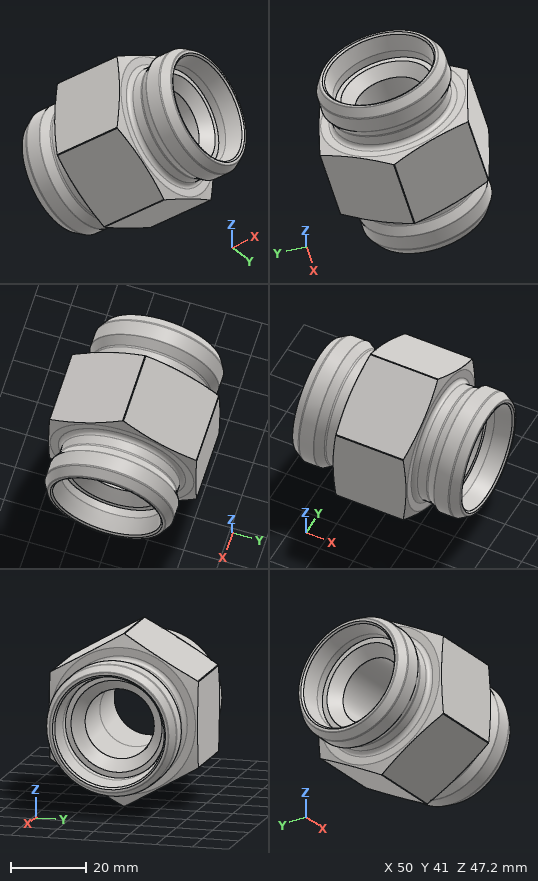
import cadquery as cq
import math

length = 50.0
half_length = length / 2

hex_width = 22.0
hex_across_flats = 41.0
hex_corner_diameter = 47.2
hex_face_diameter = 40.0
hex_chamfer_angle = 15.0

crest_diameter = 36.0
neck_diameter = 32.9
crest_start = 2.65
crest_end = 7.1
neck_start = 9.8
crest_blend = 0.75
neck_blend = 1.0
rim_blend = 0.2
hex_root_fillet = 1.25

mouth_diameter = 31.2
cone_diameter = 30.2
socket_diameter = 28.2
seat_diameter = 25.1
bore_diameter = 19.0
cone_half_angle = 12.0
mouth_depth = (mouth_diameter - cone_diameter) / 2
cone_length = (cone_diameter - socket_diameter) / 2 / math.tan(math.radians(cone_half_angle))
socket_depth = 7.5
seat_cone_length = (seat_diameter - bore_diameter) / 2


def revolve_about_x(profile):
    """Turn a closed (distance, radius) profile around the X axis."""
    return profile.close().revolve(360, (0, 0, 0), (1, 0, 0))


def circles_at(body, x, radius):
    """Pick the round edges of the given radius at a place along X."""
    margin = 0.005
    reach = radius + margin
    return body.edges(
        cq.selectors.BoxSelector(
            (x - margin, -reach, -reach), (x + margin, reach, reach), boundingbox=True
        )
    )


def make_hexagon():
    corner_radius = hex_corner_diameter / 2
    face_radius = hex_face_diameter / 2
    chamfer_length = (corner_radius - face_radius) * math.tan(math.radians(hex_chamfer_angle))
    half_width = hex_width / 2
    prism_diameter = hex_across_flats / math.cos(math.radians(30))
    prism = (
        cq.Workplane("YZ")
        .polygon(6, prism_diameter)
        .extrude(half_width, both=True)
        .rotate((0, 0, 0), (1, 0, 0), 90)
    )
    envelope = revolve_about_x(
        cq.Workplane("XY")
        .moveTo(-half_width, 0)
        .lineTo(-half_width, face_radius)
        .lineTo(-half_width + chamfer_length, corner_radius)
        .lineTo(half_width - chamfer_length, corner_radius)
        .lineTo(half_width, face_radius)
        .lineTo(half_width, 0)
    )
    return prism.intersect(envelope)


def make_left_end():
    crest_radius = crest_diameter / 2
    neck_radius = neck_diameter / 2
    hex_face = -hex_width / 2
    root_start = hex_face - hex_root_fillet
    end = revolve_about_x(
        cq.Workplane("XY")
        .moveTo(-half_length, 0)
        .lineTo(-half_length, neck_radius)
        .lineTo(-half_length + crest_start, crest_radius)
        .lineTo(-half_length + crest_end, crest_radius)
        .lineTo(-half_length + neck_start, neck_radius)
        .lineTo(root_start, neck_radius)
        .radiusArc((hex_face, neck_radius + hex_root_fillet), -hex_root_fillet)
        .lineTo(0, neck_radius + hex_root_fillet)
        .lineTo(0, 0)
    )
    end = circles_at(end, -half_length, neck_radius).fillet(rim_blend)
    end = circles_at(end, -half_length + crest_start, crest_radius).fillet(crest_blend)
    end = circles_at(end, -half_length + crest_end, crest_radius).fillet(rim_blend)
    return circles_at(end, -half_length + neck_start, neck_radius).fillet(neck_blend)


def make_left_cavity():
    seat_x = -half_length + socket_depth
    return revolve_about_x(
        cq.Workplane("XY")
        .moveTo(-half_length, 0)
        .lineTo(-half_length, mouth_diameter / 2)
        .lineTo(-half_length + mouth_depth, cone_diameter / 2)
        .lineTo(-half_length + mouth_depth + cone_length, socket_diameter / 2)
        .lineTo(seat_x, socket_diameter / 2)
        .lineTo(seat_x, seat_diameter / 2)
        .lineTo(seat_x + seat_cone_length, bore_diameter / 2)
        .lineTo(0, bore_diameter / 2)
        .lineTo(0, 0)
    )


left_end = make_left_end()
left_cavity = make_left_cavity()
result = make_hexagon()
result = result.union(left_end).union(left_end.mirror("YZ"))
result = result.cut(left_cavity).cut(left_cavity.mirror("YZ"))